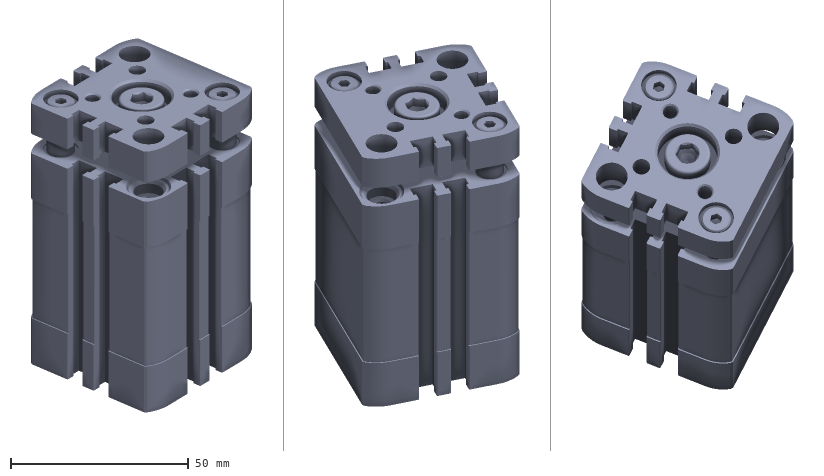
import cadquery as cq
import math

WIDTH = 47.0
TOTAL_HEIGHT = 85.5
PLATE_THICKNESS = 10.0
STROKE_GAP = 6.4
PLATE_BOTTOM = TOTAL_HEIGHT - PLATE_THICKNESS
HOUSING_HEIGHT = PLATE_BOTTOM - STROKE_GAP

CORNER_RADIUS = 12.1
CORNER_ANGLE = 33.8
CORNER_START_Y = 16.2
END_FACE_HALF = 20.7

COLLAR_HEIGHT = 15.05
WAIST_INSET = 0.3

SLOT_DEPTH = 5.8
SLOT_LIP = 2.6
SLOT_SPAN = 16.5
MOUTH_SPAN = 15.0
RAIL_STEM = 2.8
RAIL_HEAD = 4.3
MOUTH_ROUND = 0.3
SLOT_SIDE_ANGLES = (0, 90, -90)

CORNER_OFFSET = 16.2
GUIDE_POINTS = [(CORNER_OFFSET, CORNER_OFFSET), (-CORNER_OFFSET, -CORNER_OFFSET)]
GUIDE_DIAMETER = 8.0
GUIDE_INSERTION = 51.3
GUIDE_RECESS_DIAMETER = 10.0
GUIDE_RECESS_DEPTH = 0.5
PLATE_RECESS_DEPTH = 1.9
GUIDE_SCREW_DIAMETER = 8.5
GUIDE_SCREW_DROP = 0.8
GUIDE_SCREW_CHAMFER = 0.5
GUIDE_SCREW_HEX = 3.1
GUIDE_HEX_ROTATION = 15
GUIDE_SCREW_HEX_DEPTH = 2.6

MOUNT_POINTS = [(-CORNER_OFFSET, CORNER_OFFSET), (CORNER_OFFSET, -CORNER_OFFSET)]
ACCESS_DIAMETER = 9.0
MOUNT_BORE_DIAMETER = 8.55
MOUNT_BORE_DEPTH = 4.8
MOUNT_RIM_DIAMETER = 11.9
MOUNT_RIM_DEPTH = 0.85
MOUNT_RIM_MOUTH = 12.8
MOUNT_BORE_MOUTH = 10.2
MOUNT_HOLE_DIAMETER = 4.7
MOUNT_HOLE_MOUTH = 6.0

PLATE_HOLE_OFFSET = 9.8
PLATE_HOLE_DIAMETER = 5.0
PIN_POINTS = [(-PLATE_HOLE_OFFSET, PLATE_HOLE_OFFSET), (PLATE_HOLE_OFFSET, -PLATE_HOLE_OFFSET)]
THREAD_POINTS = [(PLATE_HOLE_OFFSET, PLATE_HOLE_OFFSET), (-PLATE_HOLE_OFFSET, -PLATE_HOLE_OFFSET)]
THREAD_DIAMETER = 4.1

ROD_DIAMETER = 12.0
ROD_INSERTION = 51.3
ROD_FLATS = 10.0
FLAT_LENGTH = 4.6
CENTER_BORE_DIAMETER = 17.0
CENTER_BORE_DEPTH = 5.6
CENTER_BORE_CHAMFER = 0.7
ROD_SCREW_DIAMETER = 13.0
ROD_SCREW_DROP = 0.9
ROD_SCREW_ROUND = 0.8
ROD_SCREW_HEX = 6.0
ROD_SCREW_HEX_DEPTH = 2.9
ROD_SCREW_DRILL_DIAMETER = 4.4
DRILL_TIP_DEPTH = 1.3


def cone(bottom_diameter, top_diameter, top_z, x=0, y=0, height=None):
    """Cone frustum whose wide end is at top_z, at 45 degrees unless a height is given."""
    if height is None:
        height = (top_diameter - bottom_diameter) / 2
    base = cq.Vector(x, y, top_z - height)
    return cq.Workplane(cq.Solid.makeCone(bottom_diameter / 2, top_diameter / 2, height, base))


def cylinders(points, diameter, bottom_z, top_z):
    """Vertical cylinders at the given points."""
    return (
        cq.Workplane("XY", origin=(0, 0, bottom_z))
        .pushPoints(points)
        .circle(diameter / 2)
        .extrude(top_z - bottom_z)
    )


def hex_socket(across_flats, depth, top_z, x=0, y=0, rotation=0):
    """Hexagonal socket cutter, with a corner toward +X before its rotation."""
    across_corners = across_flats / math.cos(math.pi / 6)
    return (
        cq.Workplane("XY")
        .polygon(6, across_corners)
        .extrude(depth)
        .rotate((0, 0, 0), (0, 0, 1), rotation)
        .translate((x, y, top_z - depth))
    )


def section(bottom_z, height, inset=0):
    """Square section with blunt arc corners, its sides moved in by inset."""
    half = WIDTH / 2 - inset
    center_x = WIDTH / 2 - CORNER_RADIUS
    radius = CORNER_RADIUS - inset

    def on_arc(degrees):
        angle = math.radians(degrees)
        return center_x + radius * math.cos(angle), CORNER_START_Y + radius * math.sin(angle)

    mid_x, mid_y = on_arc(CORNER_ANGLE / 2)
    end_x, end_y = on_arc(CORNER_ANGLE)
    return (
        cq.Workplane("XY", origin=(0, 0, bottom_z))
        .moveTo(half, -CORNER_START_Y)
        .lineTo(half, CORNER_START_Y)
        .threePointArc((mid_x, mid_y), (end_x, end_y))
        .lineTo(END_FACE_HALF, half)
        .lineTo(-END_FACE_HALF, half)
        .lineTo(-end_x, end_y)
        .threePointArc((-mid_x, mid_y), (-half, CORNER_START_Y))
        .lineTo(-half, -CORNER_START_Y)
        .threePointArc((-mid_x, -mid_y), (-end_x, -end_y))
        .lineTo(-END_FACE_HALF, -half)
        .lineTo(END_FACE_HALF, -half)
        .lineTo(end_x, -end_y)
        .threePointArc((mid_x, -mid_y), (half, -CORNER_START_Y))
        .close()
        .extrude(height)
    )


def slot_pairs(bottom_z, height, inset=0):
    """Cutter for the T-slot pairs, its rounded mouths ending on faces moved in by inset."""
    floor = SLOT_DEPTH - WIDTH / 2
    lip = SLOT_LIP - WIDTH / 2
    face = inset - WIDTH / 2
    outer_x = MOUTH_SPAN / 2
    inner_x = RAIL_HEAD / 2
    arc_rise = MOUTH_ROUND * (1 - math.sqrt(0.5))
    right_slot = (
        cq.Workplane("XY", origin=(0, 0, bottom_z))
        .moveTo(RAIL_STEM / 2, floor)
        .lineTo(SLOT_SPAN / 2, floor)
        .lineTo(SLOT_SPAN / 2, lip)
        .lineTo(outer_x, lip)
        .lineTo(outer_x, face + MOUTH_ROUND)
        .threePointArc((outer_x + arc_rise, face + arc_rise), (outer_x + MOUTH_ROUND, face))
        .lineTo(inner_x - MOUTH_ROUND, face)
        .threePointArc((inner_x - arc_rise, face + arc_rise), (inner_x, face + MOUTH_ROUND))
        .lineTo(inner_x, lip)
        .lineTo(RAIL_STEM / 2, lip)
        .close()
        .extrude(height)
    )
    pair = right_slot.union(right_slot.mirror("YZ"))
    cutter = cq.Workplane("XY")
    for angle in SLOT_SIDE_ANGLES:
        cutter = cutter.add(pair.rotate((0, 0, 0), (0, 0, 1), angle))
    return cutter.combine()


def slotted_section(bottom_z, height, inset=0):
    """Length of section with its T-slots cut."""
    return section(bottom_z, height, inset).cut(slot_pairs(bottom_z, height, inset))


def make_housing():
    """Cylinder housing with waist, rod bores and stepped mounting holes."""
    top = HOUSING_HEIGHT
    waist_height = HOUSING_HEIGHT - 2 * COLLAR_HEIGHT
    body = (
        slotted_section(0, COLLAR_HEIGHT)
        .union(slotted_section(COLLAR_HEIGHT, waist_height, WAIST_INSET))
        .union(slotted_section(top - COLLAR_HEIGHT, COLLAR_HEIGHT))
    )
    body = body.cut(cylinders([(0, 0)], ROD_DIAMETER, top - ROD_INSERTION, top))
    body = body.cut(cylinders(GUIDE_POINTS, GUIDE_DIAMETER, top - GUIDE_INSERTION, top))
    body = body.cut(cylinders(GUIDE_POINTS, GUIDE_RECESS_DIAMETER, top - GUIDE_RECESS_DEPTH, top))
    bore_floor = top - MOUNT_BORE_DEPTH
    body = body.cut(cylinders(MOUNT_POINTS, MOUNT_BORE_DIAMETER, bore_floor, top))
    body = body.cut(cylinders(MOUNT_POINTS, MOUNT_HOLE_DIAMETER, 0, top))
    for x, y in MOUNT_POINTS:
        body = body.cut(cone(MOUNT_RIM_DIAMETER, MOUNT_RIM_MOUTH, top, x, y, MOUNT_RIM_DEPTH))
        body = body.cut(cone(MOUNT_BORE_DIAMETER, MOUNT_BORE_MOUTH, top - MOUNT_RIM_DEPTH, x, y))
        body = body.cut(cone(MOUNT_HOLE_DIAMETER, MOUNT_HOLE_MOUTH, bore_floor, x, y))
    return body


def cut_plate_holes(plate):
    """Access holes, pin holes and chamfered threaded holes through the plate."""
    plate = plate.cut(cylinders(MOUNT_POINTS, ACCESS_DIAMETER, PLATE_BOTTOM, TOTAL_HEIGHT))
    plate = plate.cut(cylinders(PIN_POINTS, PLATE_HOLE_DIAMETER, PLATE_BOTTOM, TOTAL_HEIGHT))
    plate = plate.cut(cylinders(THREAD_POINTS, THREAD_DIAMETER, PLATE_BOTTOM, TOTAL_HEIGHT))
    for x, y in THREAD_POINTS:
        plate = plate.cut(cone(THREAD_DIAMETER, PLATE_HOLE_DIAMETER, TOTAL_HEIGHT, x, y))
    return plate


def add_guides(plate):
    """Guide rods, with the socketed screw of each in a plate recess."""
    recess_floor = TOTAL_HEIGHT - PLATE_RECESS_DEPTH
    screw_top = TOTAL_HEIGHT - GUIDE_SCREW_DROP
    rods = cylinders(GUIDE_POINTS, GUIDE_DIAMETER, HOUSING_HEIGHT - GUIDE_INSERTION, PLATE_BOTTOM)
    screws = (
        cylinders(GUIDE_POINTS, GUIDE_SCREW_DIAMETER, recess_floor, screw_top)
        .faces(">Z")
        .chamfer(GUIDE_SCREW_CHAMFER)
    )
    plate = plate.cut(cylinders(GUIDE_POINTS, GUIDE_RECESS_DIAMETER, recess_floor, TOTAL_HEIGHT))
    plate = plate.union(rods).union(screws)
    for x, y in GUIDE_POINTS:
        socket = hex_socket(GUIDE_SCREW_HEX, GUIDE_SCREW_HEX_DEPTH, screw_top, x, y, GUIDE_HEX_ROTATION)
        plate = plate.cut(socket)
    return plate


def make_piston_rod():
    """Piston rod with two wrench flats that run out at 45 degrees below the plate."""
    flat_half = ROD_FLATS / 2
    runout = (ROD_DIAMETER - ROD_FLATS) / 2
    flat_end = PLATE_BOTTOM - FLAT_LENGTH
    rod = cylinders([(0, 0)], ROD_DIAMETER, HOUSING_HEIGHT - ROD_INSERTION, PLATE_BOTTOM)
    flat = (
        cq.Workplane("YZ")
        .polyline([
            (flat_half, PLATE_BOTTOM),
            (flat_half, flat_end),
            (flat_half + runout, flat_end - runout),
            (flat_half + runout, PLATE_BOTTOM),
        ])
        .close()
        .extrude(ROD_DIAMETER / 2, both=True)
    )
    return rod.cut(flat).cut(flat.mirror("XZ"))


def add_rod_screw(plate):
    """Rounded socket screw that holds the piston rod, in a chamfered plate bore."""
    bore_floor = TOTAL_HEIGHT - CENTER_BORE_DEPTH
    screw_top = TOTAL_HEIGHT - ROD_SCREW_DROP
    bore_mouth = CENTER_BORE_DIAMETER + 2 * CENTER_BORE_CHAMFER
    hex_corners = ROD_SCREW_HEX / math.cos(math.pi / 6)
    socket_floor = screw_top - ROD_SCREW_HEX_DEPTH
    screw = (
        cylinders([(0, 0)], ROD_SCREW_DIAMETER, bore_floor, screw_top)
        .faces(">Z")
        .edges()
        .fillet(ROD_SCREW_ROUND)
    )
    plate = plate.cut(cylinders([(0, 0)], CENTER_BORE_DIAMETER, bore_floor, TOTAL_HEIGHT))
    plate = plate.cut(cone(CENTER_BORE_DIAMETER, bore_mouth, TOTAL_HEIGHT))
    plate = plate.union(screw)
    plate = plate.cut(hex_socket(ROD_SCREW_HEX, ROD_SCREW_HEX_DEPTH, screw_top))
    plate = plate.cut(cone(ROD_SCREW_HEX, hex_corners, screw_top))
    drill_floor = socket_floor - (ROD_SCREW_HEX - ROD_SCREW_DRILL_DIAMETER) / 2
    plate = plate.cut(cone(ROD_SCREW_DRILL_DIAMETER, ROD_SCREW_HEX, socket_floor))
    return plate.cut(cone(0, ROD_SCREW_DRILL_DIAMETER, drill_floor, height=DRILL_TIP_DEPTH))


def make_moving_unit():
    """End plate with the piston rod and guide rods fixed to it."""
    plate = slotted_section(PLATE_BOTTOM, PLATE_THICKNESS)
    plate = cut_plate_holes(plate)
    plate = add_guides(plate)
    plate = add_rod_screw(plate)
    return plate.union(make_piston_rod())


housing = make_housing()
moving_unit = make_moving_unit()
result = cq.Compound.makeCompound([housing.val(), moving_unit.val()])